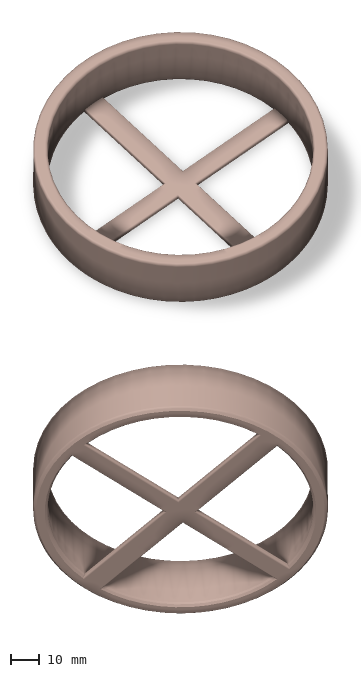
import cadquery as cq

outer_diameter = 102.0
inner_diameter = 92.0
height = 22.0
rim_fillet = 1.0
base_chamfer = 1.0
chamfer_blend = 1.0

x_spoke_width = 8.5
y_spoke_width = 7.3
spoke_thickness = 2.0
spoke_fillet = 0.6


def make_ring():
    """Open ring with a rounded top rim and softened chamfers at the base."""
    ring = (
        cq.Workplane("XY")
        .circle(outer_diameter / 2)
        .circle(inner_diameter / 2)
        .extrude(height)
    )
    ring = ring.faces(">Z").edges().fillet(rim_fillet)
    ring = ring.faces("<Z").edges().chamfer(base_chamfer)
    chamfer_tops = cq.selectors.BoxSelector(
        (-outer_diameter, -outer_diameter, base_chamfer / 2),
        (outer_diameter, outer_diameter, base_chamfer * 3 / 2),
    )
    return ring.edges("%CIRCLE").edges(chamfer_tops).fillet(chamfer_blend)


def make_cross():
    """Two crossing spokes with rounded upper and lower edges, ending inside the ring wall."""
    spoke_length = (outer_diameter + inner_diameter) / 2
    x_spoke = cq.Workplane("XY").box(
        spoke_length, x_spoke_width, spoke_thickness, centered=(True, True, False)
    )
    y_spoke = cq.Workplane("XY").box(
        y_spoke_width, spoke_length, spoke_thickness, centered=(True, True, False)
    )
    return x_spoke.union(y_spoke).faces("<Z or >Z").edges().fillet(spoke_fillet)


result = make_ring().union(make_cross())